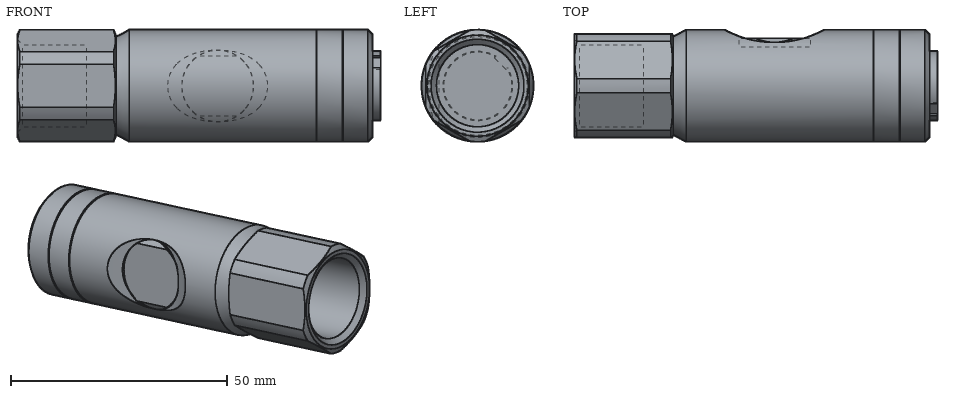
import cadquery as cq
import math

overall_length = 84.1
body_radius = 26 / 2

hex_across_flats = 24
hex_length = 22.95
hex_bevel_length = 0.65
neck_radius = 11.4
hex_face_radius = 23.4 / 2

bore_radius = 19 / 2
bore_depth = 16
bore_mouth_radius = 21.5 / 2
bore_mouth_depth = bore_mouth_radius - bore_radius

shoulder_end = 25.95
body_end = 82.2
body_end_chamfer = 1.1
groove_centers = (69.2, 75.3)
groove_width = 0.2
groove_depth = 0.1

scoop_center_x = 46.3
scoop_length = 23.1
scoop_depth = 3.0
button_radius = 16.5 / 2
button_top_y = 11.0
button_hole_radius = 16.6 / 2
button_hole_floor_y = 9.0

spigot_radius = 16.1 / 2
spigot_chamfer = 0.2
spigot_overlap = 1.0
notch_width = 3.8
notch_floor_distance = 7.3
notch_angle = 45


def x_cylinder(radius, start, end):
    """Solid cylinder along X between two stations."""
    return cq.Workplane("YZ").workplane(offset=start).circle(radius).extrude(end - start)


def y_cylinder(radius, start, end):
    """Solid cylinder along Y on the button axis."""
    return cq.Workplane("XZ", origin=(scoop_center_x, start, 0)).circle(radius).extrude(start - end)


def revolve_about_x(profile):
    """Revolve a closed list of (x, radius) points about the X axis."""
    return cq.Workplane("XY").polyline(profile).close().revolve(360, (0, 0, 0), (1, 0, 0))


def make_hex_end():
    """Hexagon with flats facing +Y and -Y, rounded at the corners and bevelled at both ends."""
    envelope = revolve_about_x([
        (0, 0),
        (0, hex_face_radius),
        (hex_bevel_length, body_radius),
        (hex_length - hex_bevel_length, body_radius),
        (hex_length, neck_radius),
        (hex_length, 0),
    ])
    flats_rotation = 30
    corner_diameter = hex_across_flats / math.cos(math.radians(flats_rotation))
    prism = cq.Workplane("YZ").polygon(6, corner_diameter).extrude(hex_length)
    prism = prism.rotate((0, 0, 0), (1, 0, 0), flats_rotation)
    return envelope.intersect(prism)


def make_body():
    """Round body with a conical shoulder rising from the neck and a chamfered far end."""
    return revolve_about_x([
        (hex_length, 0),
        (hex_length, neck_radius),
        (shoulder_end, body_radius),
        (body_end - body_end_chamfer, body_radius),
        (body_end, body_radius - body_end_chamfer),
        (body_end, 0),
    ])


def make_groove(center):
    """Ring that cuts one shallow groove around the body."""
    start = center - groove_width / 2
    end = center + groove_width / 2
    core = x_cylinder(body_radius - groove_depth, start, end)
    return x_cylinder(body_radius, start, end).cut(core)


def make_scoop():
    """Cylindrical scoop along Z, leaving a flat-topped button in a close-fitting round hole."""
    scoop_radius = ((scoop_length / 2) ** 2 + scoop_depth ** 2) / (2 * scoop_depth)
    scoop_center_y = body_radius - scoop_depth + scoop_radius
    scoop = (
        cq.Workplane("XY")
        .center(scoop_center_x, scoop_center_y)
        .circle(scoop_radius)
        .extrude(body_radius, both=True)
    )
    hole = y_cylinder(button_hole_radius, button_hole_floor_y, body_radius)
    button = y_cylinder(button_radius, 0, button_top_y)
    return scoop.union(hole).cut(button)


def make_bore():
    """Blind bore with a 45 degree countersunk mouth."""
    return revolve_about_x([
        (0, 0),
        (0, bore_mouth_radius),
        (bore_mouth_depth, bore_radius),
        (bore_depth, bore_radius),
        (bore_depth, 0),
    ])


def make_spigot():
    """Short spigot with a flat-bottomed notch in its -Y +Z quadrant."""
    spigot = x_cylinder(spigot_radius, body_end - spigot_overlap, overall_length)
    spigot = spigot.faces(">X").chamfer(spigot_chamfer)
    notch = (
        cq.Workplane("XY", origin=(body_end, 0, notch_floor_distance))
        .box(overall_length - body_end, notch_width, spigot_radius, centered=(False, True, False))
        .rotate((0, 0, 0), (1, 0, 0), notch_angle)
    )
    return spigot.cut(notch)


result = make_hex_end().union(make_body()).union(make_spigot())
for groove_center in groove_centers:
    result = result.cut(make_groove(groove_center))
result = result.cut(make_scoop()).cut(make_bore())